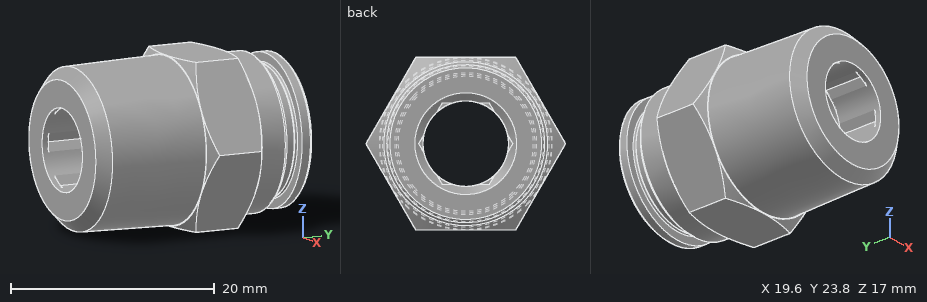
import cadquery as cq
import math

length = 23.8
rear_y = length / 2
front_y = -length / 2

hex_flats = 17.0
hex_rear_y = rear_y - 5.83
hex_front_y = rear_y - 12.28
hex_chamfer_angle = math.radians(30)
hex_corner_radius = hex_flats / 2 / math.cos(math.pi / 6)

thread_tip_radius = 8.19
thread_chamfer = 1.21
thread_root_radius = 8.43
thread_tip_y = front_y + thread_chamfer

collar_radius = 8.05
collar_rear_y = rear_y - 2.85
collar_chamfer = 0.4

flange_radius = 7.75
flange_chamfer = 0.3
flange_front_y = rear_y - 1.24
sleeve_radius = 6.8
undercut_radius = 6.65
undercut_y = rear_y - 1.45
undercut_bevel = sleeve_radius - undercut_radius

bore_radius = 4.2
tube_radius = 5.0
bore_end_y = front_y + 5.25
tube_stop_angle = math.radians(30)
tube_stop_y = bore_end_y + (tube_radius - bore_radius) * math.tan(tube_stop_angle)
socket_flats = 8.0
socket_front_y = front_y + 0.7


def revolve_profile(points):
    """Revolve an outline of (radius, y) points about the Y axis."""
    return cq.Workplane("XY").polyline(points).close().revolve(360, (0, 0), (0, 1))


def hex_prism(flats, start_y, end_y):
    """Hexagonal prism along Y with two corners on the X axis."""
    corner_diameter = flats / math.cos(math.pi / 6)
    plane = cq.Workplane("XZ", origin=(0, end_y, 0))
    return plane.polygon(6, corner_diameter).extrude(end_y - start_y)


def wrench_hex():
    """Hexagon with its corners trimmed by a cone at each end."""
    slope = math.tan(hex_chamfer_angle)
    front_radius = hex_flats / 2
    rear_trim = (hex_corner_radius - collar_radius) * slope
    front_trim = (hex_corner_radius - front_radius) * slope
    envelope = revolve_profile([
        (0, hex_rear_y),
        (collar_radius, hex_rear_y),
        (hex_corner_radius, hex_rear_y - rear_trim),
        (hex_corner_radius, hex_front_y + front_trim),
        (front_radius, hex_front_y),
        (0, hex_front_y),
    ])
    return hex_prism(hex_flats, hex_front_y, hex_rear_y).intersect(envelope)


def turned_body():
    """Thread, core, collar and release ring as one stepped outline."""
    return revolve_profile([
        (0, front_y),
        (thread_tip_radius - thread_chamfer, front_y),
        (thread_tip_radius, thread_tip_y),
        (thread_root_radius, hex_front_y),
        (collar_radius, hex_front_y),
        (collar_radius, collar_rear_y - collar_chamfer),
        (collar_radius - collar_chamfer, collar_rear_y),
        (sleeve_radius, collar_rear_y),
        (sleeve_radius, undercut_y - undercut_bevel),
        (undercut_radius, undercut_y),
        (sleeve_radius, flange_front_y),
        (flange_radius, flange_front_y),
        (flange_radius, rear_y - flange_chamfer),
        (flange_radius - flange_chamfer, rear_y),
        (0, rear_y),
    ])


def passage():
    """Through bore that widens at a conical tube stop."""
    return revolve_profile([
        (0, front_y),
        (bore_radius, front_y),
        (bore_radius, bore_end_y),
        (tube_radius, tube_stop_y),
        (tube_radius, rear_y),
        (0, rear_y),
    ])


key_socket = hex_prism(socket_flats, socket_front_y, tube_stop_y)

result = turned_body().union(wrench_hex()).cut(passage()).cut(key_socket)